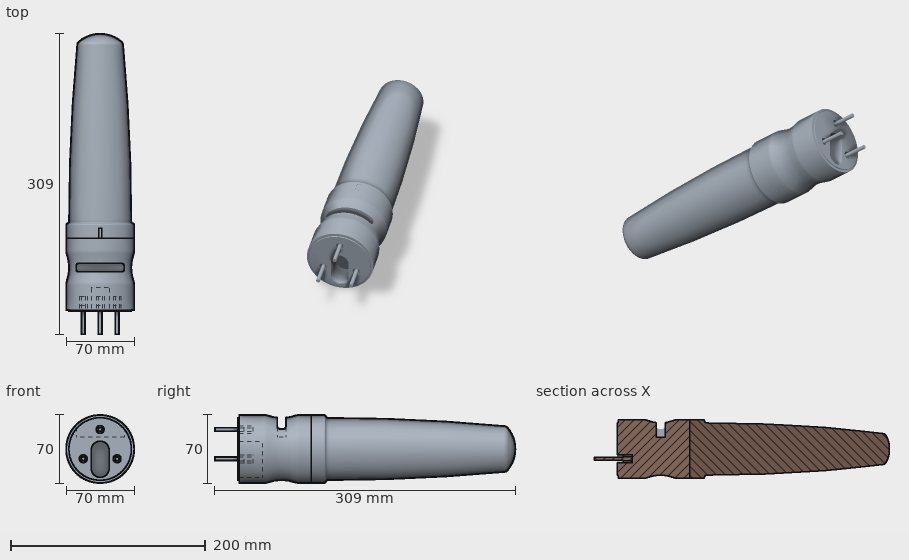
import cadquery as cq
import math

total_length = 309.0
wire_length = 23.8
tip_y = total_length - wire_length

body_radius = 70.0 / 2
step_depth = 2.95
small_radius = body_radius - step_depth
rear_step_length = 1.2
neck_y = 44.8
neck_arc_radius = 43.3
neck_blend_radius = 12.5
joint_y = 75.0

slot_length = 49.0
slot_width = 8.5
slot_corner_radius = 2.2
slot_floor_z = 12.5

recess_width = 18.5
recess_height = 37.0
recess_z = -10.5
recess_depth = 24.7

shoulder_y = 90.2
shoulder_length = 3.7
dome_height = 9.5
dome_rim_radius = 23.5
dome_rim_fillet = 4.5

notch_width = 3.5
notch_length = 10.2
notch_depth = 0.3

wire_diameter = 4.0
bushing_diameter = 8.0
bushing_length = 9.3
bushing_sink = 6.2
wire_hole_depth = bushing_sink + bushing_length
wire_circle_radius = 20.0
wire_angles = (90, 210, 330)
wire_places = [
    (wire_circle_radius * math.cos(math.radians(angle)), wire_circle_radius * math.sin(math.radians(angle)))
    for angle in wire_angles
]


def revolve_about_y(profile):
    """Close a half profile of (Y, radius) points and turn it around the Y axis."""
    return profile.close().revolve(360, (0, 0, 0), (1, 0, 0))


def rod(place, diameter, start_y, end_y):
    """Round rod parallel to Y, centred on the (X, Z) place."""
    x, z = place
    return (
        cq.Workplane("XZ", origin=(x, start_y, z))
        .circle(diameter / 2)
        .extrude(start_y - end_y)
    )


def make_base_blank():
    centre_distance = neck_arc_radius + neck_blend_radius
    blend_half_length = math.sqrt(centre_distance**2 - (centre_distance - step_depth) ** 2)
    arc_share = neck_arc_radius / centre_distance
    arc_half_length = blend_half_length * arc_share
    arc_end_radius = small_radius + step_depth * arc_share
    profile = (
        cq.Workplane("YZ")
        .lineTo(0, small_radius)
        .lineTo(rear_step_length, small_radius)
        .lineTo(rear_step_length, body_radius)
        .lineTo(neck_y - blend_half_length, body_radius)
        .tangentArcPoint((neck_y - arc_half_length, arc_end_radius), relative=False)
        .tangentArcPoint((neck_y, small_radius), relative=False)
        .tangentArcPoint((neck_y + arc_half_length, arc_end_radius), relative=False)
        .tangentArcPoint((neck_y + blend_half_length, body_radius), relative=False)
        .lineTo(joint_y, body_radius)
        .lineTo(joint_y, 0)
    )
    return revolve_about_y(profile)


def make_neck_slot():
    return (
        cq.Workplane("XY", origin=(0, neck_y, slot_floor_z))
        .rect(slot_length, slot_width)
        .extrude(body_radius)
        .edges("|Z")
        .fillet(slot_corner_radius)
    )


def make_cable_recess():
    return (
        cq.Workplane("XZ")
        .center(0, recess_z)
        .slot2D(recess_height, recess_width, 90)
        .extrude(-recess_depth)
    )


def make_base():
    base = make_base_blank().cut(make_neck_slot()).cut(make_cable_recess())
    for place in wire_places:
        base = base.cut(rod(place, bushing_diameter, 0, wire_hole_depth))
    return base


def make_cover_blank():
    mid_radius = (body_radius + small_radius) / 2
    shoulder_start_y = shoulder_y - shoulder_length / 2
    side_start_y = shoulder_y + shoulder_length / 2
    rim_y = tip_y - dome_height
    dome_radius = (dome_rim_radius**2 + dome_height**2) / (2 * dome_height)
    dome_mid_angle = math.asin(dome_rim_radius / dome_radius) / 2
    dome_mid_y = tip_y - dome_radius * (1 - math.cos(dome_mid_angle))
    dome_mid_radius = dome_radius * math.sin(dome_mid_angle)
    profile = (
        cq.Workplane("YZ")
        .moveTo(joint_y, 0)
        .lineTo(joint_y, body_radius)
        .lineTo(shoulder_start_y, body_radius)
        .tangentArcPoint((shoulder_y, mid_radius), relative=False)
        .tangentArcPoint((side_start_y, small_radius), relative=False)
        .tangentArcPoint((rim_y, dome_rim_radius), relative=False)
        .threePointArc((dome_mid_y, dome_mid_radius), (tip_y, 0))
    )
    rim = cq.selectors.BoxSelector(
        (-body_radius, rim_y - 0.3, -body_radius),
        (body_radius, rim_y + 0.3, body_radius),
        boundingbox=True,
    )
    return revolve_about_y(profile).edges(rim).fillet(dome_rim_fillet)


def make_cover():
    notch = (
        cq.Workplane("XY", origin=(0, joint_y, 0))
        .box(notch_width, notch_length, body_radius, centered=(True, False, False))
        .cut(rod((0, 0), 2 * (body_radius - notch_depth), joint_y, joint_y + notch_length))
    )
    return make_cover_blank().cut(notch)


def make_bushing(place):
    bushing = rod(place, bushing_diameter, bushing_sink, wire_hole_depth)
    return bushing.cut(rod(place, wire_diameter, bushing_sink, wire_hole_depth))


def make_wire(place):
    return rod(place, wire_diameter, -wire_length, wire_hole_depth)


base = make_base()
cover = make_cover()
bushings = [make_bushing(place) for place in wire_places]
wires = [make_wire(place) for place in wire_places]

result = cq.Compound.makeCompound(
    [base.val(), cover.val()] + [bushing.val() for bushing in bushings] + [wire.val() for wire in wires]
)